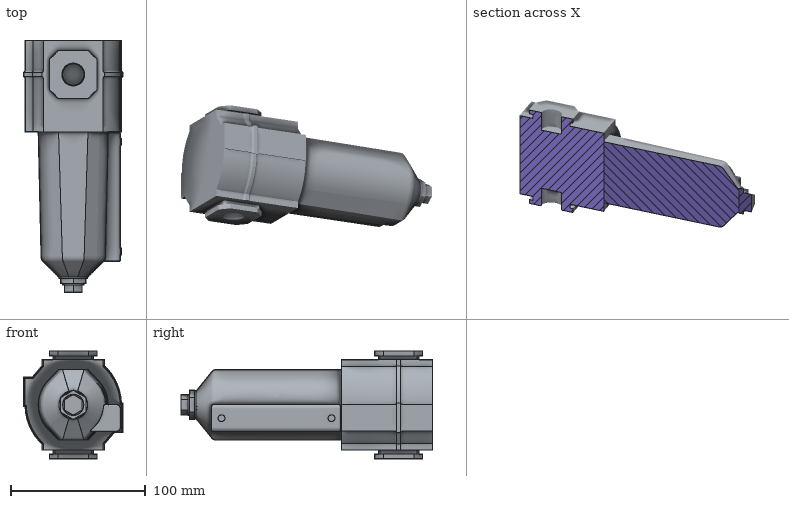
import cadquery as cq
import math


housing_length = 67.7
port_depth = 25.25

flat_z = 33.5
flat_half_width = 22.2
flat_lip_z = 28.5
block_half_width = 35.75
block_inner_x = 29.9
block_top_z = 19.5
block_bottom_z = -0.3
flank_start_x = 34.75
flank_radius = 38.5

rib_height = 1.0
rib_crest_width = 2.9
rib_base_width = 6.2
rib_root = 0.5

flange_z = 40.0
flange_thickness = 3.6
flange_size = 35.5
flange_chamfer = 6.5
neck_size = 30.2
neck_chamfer = 1.4
port_bore_diameter = 15.8
port_bore_chamfer = 0.5
port_bore_depth = 15.0

bowl_flat_z = 26.2
corner_depth = 162.4
shoulder_start_depth = 160.1
shoulder_end_depth = 163.8
shoulder_steps = 4
cone_end_depth = 175.5
boss_end_depth = 176.6
boss_radius = 10.6
bowl_base = (housing_length, 10.9, bowl_flat_z, 19.5, 17.2, 26.0)
bowl_corner = (corner_depth, 8.0, bowl_flat_z, 17.7, 16.0, 23.85)
cone_end = (cone_end_depth, 3.2, 10.1, 7.7, 7.3, boss_radius)

gauge_gap = 0.6
gauge_end_depth = shoulder_end_depth
gauge_inner_x = 8.0
gauge_outer_x = 35.0
gauge_top_z = 0.2
gauge_bottom_z = -19.9
gauge_corner_radius = 3.2
gauge_end_radius = 1.2
screw_diameter = 5.0
screw_height = 0.75
screw_depths = (75.0, 156.5)

nut_across_flats = 18.8
nut_end_depth = 180.1
collar_radius = 7.8
collar_end_depth = 181.2
stud_across_flats = 13.2
stud_end_depth = 186.7


def plane_at(depth):
    """Workplane across the long axis, local axes X and Z, extruding toward the bowl."""
    return cq.Workplane("XZ", origin=(0, -depth, 0))


def flank_middle():
    """Point halfway along the round flank on the -X side."""
    centre_x = flank_radius - flank_start_x
    start_angle = math.asin(-block_bottom_z / flank_radius)
    end_angle = math.asin(flat_lip_z / flank_radius)
    angle = (start_angle + end_angle) / 2
    return (centre_x - flank_radius * math.cos(angle), -flank_radius * math.sin(angle))


def draw_side(sketch):
    """Draw the -X side of the housing downward from the top flat, beginning at its left end."""
    return (
        sketch.moveTo(-flat_half_width, flat_z)
        .lineTo(-flat_half_width, flat_lip_z)
        .lineTo(-block_inner_x, block_top_z)
        .lineTo(-block_half_width, block_top_z)
        .lineTo(-block_half_width, block_bottom_z)
        .lineTo(-flank_start_x, block_bottom_z)
        .threePointArc(flank_middle(), (-flat_half_width, -flat_lip_z))
        .lineTo(-flat_half_width, -flat_z)
    )


def half_turn(body):
    """Copy of a body turned half a turn about the long axis."""
    return body.rotate((0, 0, 0), (0, 1, 0), 180)


def make_rib():
    """Rib with concave sides that runs down the -X side of the housing."""
    path = draw_side(plane_at(port_depth))
    half_crest = rib_crest_width / 2
    half_base = rib_base_width / 2
    run = half_base - half_crest
    root_radius = (run ** 2 + rib_height ** 2) / (2 * rib_height)
    half_slope = math.asin(run / root_radius) / 2
    middle_y = half_base - root_radius * math.sin(half_slope)
    middle_x = -root_radius * (1 - math.cos(half_slope))
    return (
        cq.Workplane("XY", origin=(-flat_half_width, -port_depth, flat_z))
        .moveTo(rib_root, -half_base)
        .lineTo(0, -half_base)
        .threePointArc((middle_x, -middle_y), (-rib_height, -half_crest))
        .lineTo(-rib_height, half_crest)
        .threePointArc((middle_x, middle_y), (0, half_base))
        .lineTo(rib_root, half_base)
        .close()
        .sweep(path, transition="right")
    )


def make_port():
    """Neck and octagonal flange on the top flat."""
    flange_bottom_z = flange_z - flange_thickness
    neck = (
        cq.Workplane("XY", origin=(0, -port_depth, flat_z))
        .rect(neck_size, neck_size)
        .extrude(flange_bottom_z - flat_z)
        .edges("|Z")
        .chamfer(neck_chamfer)
    )
    flange = (
        cq.Workplane("XY", origin=(0, -port_depth, flange_bottom_z))
        .rect(flange_size, flange_size)
        .extrude(flange_thickness)
        .edges("|Z")
        .chamfer(flange_chamfer)
    )
    return neck.union(flange)


def make_port_bore():
    """Blind bore with a chamfered mouth, entering from the top flange."""
    mouth_radius = port_bore_diameter / 2 + port_bore_chamfer
    bore = (
        cq.Workplane("XY", origin=(0, -port_depth, flange_z))
        .circle(port_bore_diameter / 2)
        .extrude(-port_bore_depth)
    )
    mouth = cq.Solid.makeCone(
        mouth_radius,
        port_bore_diameter / 2,
        port_bore_chamfer,
        pnt=cq.Vector(0, -port_depth, flange_z),
        dir=cq.Vector(0, 0, -1),
    )
    return bore.union(cq.Workplane(mouth))


def make_housing():
    left_side = draw_side(plane_at(0)).close().extrude(housing_length)
    core = plane_at(0).rect(2 * flat_half_width, 2 * flat_z).extrude(housing_length)
    body = core.union(left_side).union(half_turn(left_side))
    for feature in (make_rib(), make_port()):
        body = body.union(feature).union(half_turn(feature))
    bore = make_port_bore()
    return body.cut(bore).cut(half_turn(bore))


def blend(first, second, share):
    """Bowl section part of the way from the first section to the second."""
    return tuple(start + share * (end - start) for start, end in zip(first, second))


def section_wire(section):
    """Closed wire: flats above and below, slanted flats beside them and a round on each side."""
    depth, flat_x, top_z, round_x, round_z, side_x = section
    return (
        plane_at(depth)
        .moveTo(-flat_x, top_z)
        .lineTo(flat_x, top_z)
        .lineTo(round_x, round_z)
        .threePointArc((side_x, 0), (round_x, -round_z))
        .lineTo(flat_x, -top_z)
        .lineTo(-flat_x, -top_z)
        .lineTo(-round_x, -round_z)
        .threePointArc((-side_x, 0), (-round_x, round_z))
        .close()
        .val()
    )


def loft(sections, ruled):
    wires = [section_wire(section) for section in sections]
    return cq.Workplane(cq.Solid.makeLoft(wires, ruled))


def section_at(first, second, depth):
    """Bowl section at a depth on the straight taper between two sections."""
    return blend(first, second, (depth - first[0]) / (second[0] - first[0]))


def make_bowl_shell():
    """Tapered wall, rounded shoulder, cone and end boss."""
    wall_end = section_at(bowl_base, bowl_corner, shoulder_start_depth)
    cone_start = section_at(bowl_corner, cone_end, shoulder_end_depth)
    shoulder = []
    for step in range(shoulder_steps + 1):
        share = step / shoulder_steps
        toward_corner = blend(wall_end, bowl_corner, share)
        from_corner = blend(bowl_corner, cone_start, share)
        shoulder.append(blend(toward_corner, from_corner, share))
    boss = plane_at(cone_end_depth).circle(boss_radius).extrude(boss_end_depth - cone_end_depth)
    return (
        loft([bowl_base, wall_end], True)
        .union(loft(shoulder, False))
        .union(loft([cone_start, cone_end], True))
        .union(boss)
    )


def make_gauge():
    """Level gauge along the +X side of the bowl, with two screw heads on its outer face."""
    start_depth = housing_length + gauge_gap
    middle_z = (gauge_top_z + gauge_bottom_z) / 2
    gauge = (
        plane_at(start_depth)
        .center((gauge_inner_x + gauge_outer_x) / 2, middle_z)
        .rect(gauge_outer_x - gauge_inner_x, gauge_top_z - gauge_bottom_z)
        .extrude(gauge_end_depth - start_depth)
        .edges("|Y and >X")
        .fillet(gauge_corner_radius)
        .edges("(<Y or >Y) and (not <X)")
        .fillet(gauge_end_radius)
    )
    screws = (
        cq.Workplane("YZ", origin=(gauge_outer_x, 0, middle_z))
        .pushPoints([(-depth, 0) for depth in screw_depths])
        .circle(screw_diameter / 2)
        .extrude(screw_height)
    )
    return gauge.union(screws)


def make_bowl():
    return make_bowl_shell().union(make_gauge())


def hexagon(depth, end_depth, across_flats):
    """Hexagonal prism with corners pointing up and down."""
    across_corners = across_flats / math.cos(math.pi / 6)
    return (
        plane_at(depth)
        .transformed(rotate=(0, 0, 90))
        .polygon(6, across_corners)
        .extrude(end_depth - depth)
    )


def make_drain():
    nut = hexagon(boss_end_depth, nut_end_depth, nut_across_flats)
    collar = plane_at(nut_end_depth).circle(collar_radius).extrude(collar_end_depth - nut_end_depth)
    stud = hexagon(collar_end_depth, stud_end_depth, stud_across_flats)
    return nut.union(collar).union(stud)


housing = make_housing()
bowl = make_bowl()
drain = make_drain()

bodies = [body.solids().val() for body in (housing, bowl, drain)]
result = cq.Compound.makeCompound(bodies)